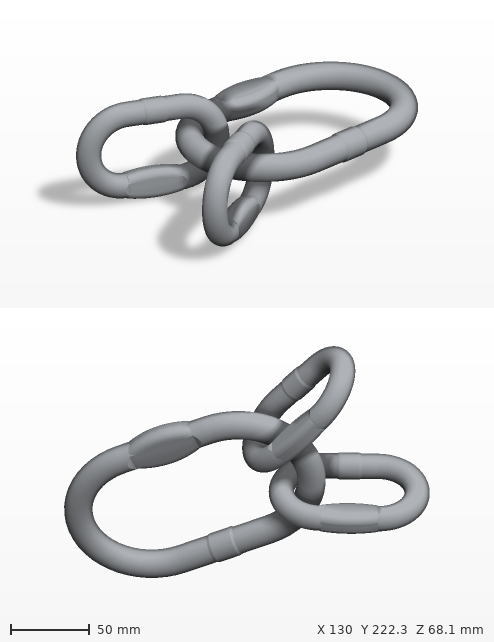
import cadquery as cq
import math

MASTER_WIRE = 18.0
MASTER_BEND = 46.5
MASTER_STRAIGHT = 60.2
MASTER_COLLAR = 19.3
MASTER_BULGE = 12.9
MASTER_BULGE_RADIUS = 53.8
MASTER_PANEL_HEIGHT = 7.0
MASTER_PANEL_LENGTH = 44.0
MASTER_PANEL_RUN = 3.3

COUPLING_WIRE = 16.0
COUPLING_BEND = 24.9
COUPLING_STRAIGHT = 36.2
COUPLING_COLLAR = 17.0
COUPLING_BULGE = 9.8
COUPLING_BULGE_RADIUS = 84.5
COUPLING_PANEL_HEIGHT = 6.9
COUPLING_PANEL_LENGTH = 36.5
COUPLING_PANEL_RUN = 2.2
COUPLING_X = 38.7
COUPLING_Y = -89.8
COUPLING_LEAN = 25.2

COLLAR_TAPER = 1.8
BOSS_ROUND = 4.7
RECESS_OVERCUT = 2


def wire_loop(wire, bend, straight):
    """Round wire bent into a racetrack, with its legs parallel to Y."""
    half_leg = straight / 2
    half_length = half_leg + bend
    centreline = (
        cq.Workplane("XY")
        .moveTo(bend, -half_leg)
        .lineTo(bend, half_leg)
        .threePointArc((0, half_length), (-bend, half_leg))
        .lineTo(-bend, -half_leg)
        .threePointArc((0, -half_length), (bend, -half_leg))
        .close()
    )
    section = cq.Workplane("XZ", origin=(bend, -half_leg, 0)).circle(wire / 2)
    return section.sweep(centreline)


def weld_collar(wire, bend, diameter):
    """Collar round the +X leg, as long as the wire is thick, coned down to the wire at both ends."""
    half_length = wire / 2
    half_flat = half_length - COLLAR_TAPER
    return (
        cq.Workplane("XY", origin=(bend, 0, 0))
        .moveTo(0, -half_length)
        .lineTo(wire / 2, -half_length)
        .lineTo(diameter / 2, -half_flat)
        .lineTo(diameter / 2, half_flat)
        .lineTo(wire / 2, half_length)
        .lineTo(0, half_length)
        .close()
        .revolve(360, (0, 0, 0), (0, 1, 0))
    )


def marking_boss(bend, bulge, bulge_radius, panel_height, panel_length):
    """Barrel-shaped thickening of the -X leg with rounded long edges."""
    half_length = panel_length / 2
    sagitta = bulge_radius - math.sqrt(bulge_radius**2 - half_length**2)
    end_width = bulge - sagitta
    return (
        cq.Workplane("XY", origin=(-bend, 0, -panel_height))
        .moveTo(end_width, -half_length)
        .threePointArc((bulge, 0), (end_width, half_length))
        .lineTo(-end_width, half_length)
        .threePointArc((-bulge, 0), (-end_width, -half_length))
        .close()
        .extrude(2 * panel_height)
        .faces("|Z")
        .edges("%CIRCLE")
        .fillet(BOSS_ROUND)
    )


def panel_recess(wire, bend, bulge, panel_height, panel_length, run, side):
    """Cutter that flattens one face of the -X leg and slopes up to the wire surface at both ends."""
    half_length = panel_length / 2
    depth = wire / 2 - panel_height
    top = side * (panel_height + RECESS_OVERCUT * depth)
    half_top = half_length + RECESS_OVERCUT * run
    return (
        cq.Workplane("YZ", origin=(-bend, 0, 0))
        .polyline([
            (-half_length, side * panel_height),
            (half_length, side * panel_height),
            (half_top, top),
            (-half_top, top),
        ])
        .close()
        .extrude(bulge, both=True)
    )


def chain_link(
    wire, bend, straight, collar, bulge, bulge_radius, panel_height, panel_length, panel_run
):
    """Link in the XY plane with its weld collar on +X and its marking boss on -X."""
    link = wire_loop(wire, bend, straight)
    link = link.union(weld_collar(wire, bend, collar))
    for side in (1, -1):
        link = link.cut(
            panel_recess(wire, bend, bulge, panel_height, panel_length, panel_run, side)
        )
    return link.union(marking_boss(bend, bulge, bulge_radius, panel_height, panel_length))


def coupling_link(side):
    """Upright link with its collar on top, leaning outwards on the given side of the YZ plane."""
    link = chain_link(
        COUPLING_WIRE, COUPLING_BEND, COUPLING_STRAIGHT, COUPLING_COLLAR,
        COUPLING_BULGE, COUPLING_BULGE_RADIUS,
        COUPLING_PANEL_HEIGHT, COUPLING_PANEL_LENGTH, COUPLING_PANEL_RUN,
    )
    return (
        link.rotate((0, 0, 0), (0, 1, 0), -90)
        .rotate((0, 0, 0), (0, 0, 1), side * COUPLING_LEAN)
        .translate((side * COUPLING_X, COUPLING_Y, 0))
    )


master_link = chain_link(
    MASTER_WIRE, MASTER_BEND, MASTER_STRAIGHT, MASTER_COLLAR,
    MASTER_BULGE, MASTER_BULGE_RADIUS,
    MASTER_PANEL_HEIGHT, MASTER_PANEL_LENGTH, MASTER_PANEL_RUN,
)
coupling_links = [coupling_link(side) for side in (-1, 1)]

result = cq.Compound.makeCompound([
    master_link.solids().val(),
    *[link.solids().val() for link in coupling_links],
])